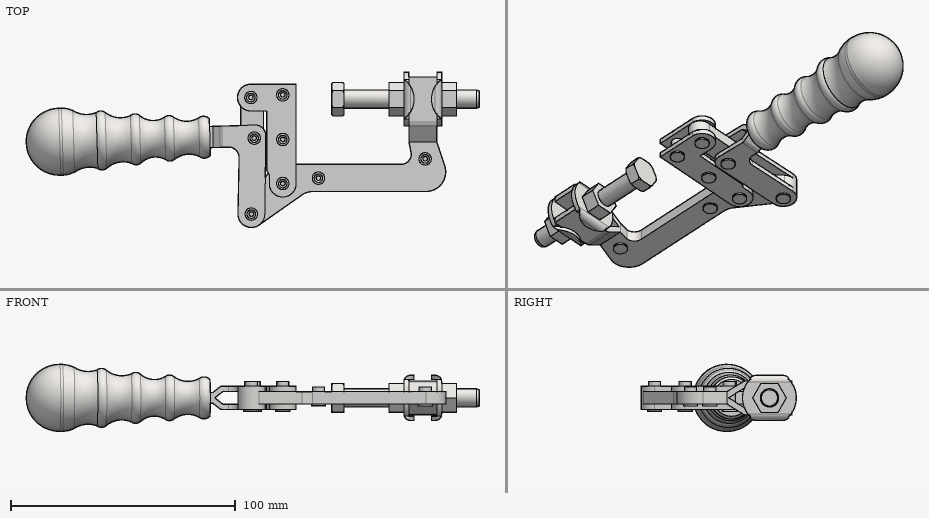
import cadquery as cq
import math


DIAGONAL = math.sin(math.pi / 4)

CORE_T = 5.5
SHEET_T = 2.5
CORE_Z = CORE_T / 2
STACK_Z = CORE_Z + SHEET_T
END_R = 6.0

ARM_PIVOT = (0.0, 0.0)
HANDLE_PIVOT = (1.3, 33.8)
LINK_PIVOT = (-0.2, 51.9)
PLATE_X = 14.0
PLATE_TOP_RIVET = (PLATE_X, 53.1)
PLATE_MID_RIVET = (PLATE_X, 33.2)
PLATE_LOW_RIVET = (PLATE_X, 13.6)
ARM_RIVET = (29.9, 16.0)
NECK_RIVET = (77.4, 24.6)

RIVET_R = 2.75
RIVET_HEAD_H = 2.1
RIVET_TAIL_R = 3.2
RIVET_TAIL_H = 0.8
CUP_TOP_R = 1.9
CUP_BOTTOM_R = 1.0
CUP_DEPTH = 1.2

BALL_R = 15.0
BALL_CENTER = (-85.3, 32.2)
GRIP_TILT = 1.8
GRIP_LENGTH = 66.9
GRIP_END_R = 8.2
BALL_BAND = 1.2
SHOULDER_ARC = ((3.8, 14.67), (6.2, 13.8))
GROOVES = [(12.4, 11.8), (27.3, 9.9), (42.1, 8.2), (56.9, 7.4)]
CRESTS = [(18.6, 13.2), (33.8, 11.4), (48.9, 10.2), (64.1, 9.4)]
CREST_HALF_W = 2.0
CREST_DROP = 0.7

UPRIGHT_X0 = 6.8
UPRIGHT_STEP_HIGH = 19.6
UPRIGHT_STEP_LOW = 17.4
INNER_LINK_X0 = -4.8
INNER_LINK_X1 = 5.5

TANG_W = 9.6
TANG_EMBED = 8.0
TANG_SPLIT_X = -16.2
TANG_BEND_RUN = 3.5
TANG_FILLET = 4.5
HANDLE_CORNER_R = 4.8
TANG_BEND_R = 1.8
LEG_TOP_X = 0.6

ARM_BOTTOM = 10.0
ARM_W = 12.2
ARM_TOP = ARM_BOTTOM + ARM_W
HEEL_ANGLE = 35.0
BACK_ANGLE = 49.5
HEEL_FILLET = 8.0
ELBOW_CENTER = (77.8, 18.8)
NECK_X0 = 70.1
NECK_X1 = 82.6
NECK_Y = 32.2
THROAT_R = 4.5
THROAT_X = 71.2

SPINDLE_Y = 51.18
HOLDER_TOP = 61.1
HOLDER_Z = 7.6
HOLDER_FLAT_Y = 40.0
HOLDER_BEND_R = 3.5
SPINDLE_R = 4.1
SPINDLE_END = 101.57
SPINDLE_CHAMFER = (1.4, 0.5)
HEX_AF = 13.0
HEX_AC = HEX_AF / math.cos(math.pi / 6)
HEAD_X = 35.8
HEAD_T = 5.5
HEAD_CHAMFER = 0.6
NUT_T = 6.6
WASHER_R = 12.0
WASHER_T = 2.2
WASHER_CORNER_Z = 10.1
LIP_REACH = 4.6
LIP_T = 2.0
LIP_BEND_R = 3.0


def disc(center, radius, z0, z1):
    return cq.Workplane("XY", origin=(center[0], center[1], z0)).circle(radius).extrude(z1 - z0)


def mirrored_pair(plate):
    return plate.union(plate.mirror("XY"))


def make_rivet(center, face_z):
    top = face_z + RIVET_HEAD_H
    body = disc(center, RIVET_R, -face_z, top)
    tail = disc(center, RIVET_TAIL_R, -face_z - RIVET_TAIL_H, -face_z)
    cup = (cq.Workplane("XY", origin=(center[0], center[1], top - CUP_DEPTH)).circle(CUP_BOTTOM_R)
           .workplane(offset=CUP_DEPTH).circle(CUP_TOP_R).loft(ruled=True))
    return body.union(tail).cut(cup)


def make_grip():
    profile = (cq.Workplane("XY").moveTo(-BALL_R, 0)
               .threePointArc((-BALL_R * DIAGONAL, BALL_R * DIAGONAL), (0, BALL_R))
               .lineTo(BALL_BAND, BALL_R)
               .threePointArc(*SHOULDER_ARC))
    for groove, (crest_x, crest_r) in zip(GROOVES, CRESTS):
        side_r = crest_r - CREST_DROP
        profile = profile.threePointArc(groove, (crest_x - CREST_HALF_W, side_r))
        is_last = crest_x == CRESTS[-1][0]
        crest_end = (GRIP_LENGTH, GRIP_END_R) if is_last else (crest_x + CREST_HALF_W, side_r)
        profile = profile.threePointArc((crest_x, crest_r), crest_end)
    grip = profile.lineTo(GRIP_LENGTH, 0).close().revolve(360, (0, 0, 0), (1, 0, 0))
    return grip.rotate((0, 0, 0), (0, 0, 1), GRIP_TILT).translate((*BALL_CENTER, 0))


def make_handle():
    slope = math.tan(math.radians(GRIP_TILT))
    tang_x = BALL_CENTER[0] + GRIP_LENGTH - TANG_EMBED

    def axis_y(x):
        return BALL_CENTER[1] + slope * (x - BALL_CENTER[0])

    px = LEG_TOP_X
    py = HANDLE_PIVOT[1]
    lean = math.atan2(px, py)
    side_x = END_R * math.cos(lean)
    side_y = END_R * math.sin(lean)
    leg_left_top = (px - side_x, axis_y(px - side_x) - TANG_W / 2)
    outer_corner = (px + side_x, py + END_R)
    plan = (cq.Workplane("XY", origin=(0, 0, -STACK_Z))
            .moveTo(-side_x, side_y)
            .threePointArc((-side_y, -side_x), (side_x, -side_y))
            .lineTo(*outer_corner)
            .lineTo(tang_x, axis_y(tang_x) + TANG_W / 2)
            .lineTo(tang_x, axis_y(tang_x) - TANG_W / 2)
            .lineTo(*leg_left_top)
            .close().extrude(2 * STACK_Z))
    plan = plan.edges(cq.selectors.NearestToPointSelector((*leg_left_top, 0))).fillet(TANG_FILLET)
    plan = plan.edges(cq.selectors.NearestToPointSelector((*outer_corner, 0))).fillet(HANDLE_CORNER_R)

    bend_shift = SHEET_T * math.tan(math.atan2(CORE_Z, TANG_BEND_RUN) / 2)
    x_far = px + 2 * END_R
    x_bend = TANG_SPLIT_X + TANG_BEND_RUN
    y_far = py + 2 * END_R
    sheet = (cq.Workplane("XZ", origin=(0, y_far, 0))
             .polyline([(tang_x, 0), (TANG_SPLIT_X, 0), (x_bend, CORE_Z), (x_far, CORE_Z),
                        (x_far, STACK_Z), (x_bend - bend_shift, STACK_Z),
                        (TANG_SPLIT_X - bend_shift, SHEET_T), (tang_x, SHEET_T)])
             .close().extrude(y_far + 2 * END_R))
    bend_point = (x_bend - bend_shift, 0, STACK_Z)
    sheet = sheet.edges("|Y").edges(cq.selectors.NearestToPointSelector(bend_point)).fillet(TANG_BEND_R)
    return plan.intersect(mirrored_pair(sheet))


def make_link_plates():
    pivot_x, pivot_y = LINK_PIVOT
    right = PLATE_X + END_R
    top = pivot_y + END_R
    foot_left = PLATE_X - END_R
    foot_y = PLATE_LOW_RIVET[1]
    plate = (cq.Workplane("XY", origin=(0, 0, CORE_Z))
             .moveTo(pivot_x, top).lineTo(right, top)
             .lineTo(right, foot_y)
             .threePointArc((PLATE_X, foot_y - END_R), (foot_left, foot_y))
             .lineTo(foot_left, UPRIGHT_STEP_LOW).lineTo(UPRIGHT_X0, UPRIGHT_STEP_HIGH)
             .lineTo(UPRIGHT_X0, pivot_y - END_R).lineTo(pivot_x, pivot_y - END_R)
             .threePointArc((pivot_x - END_R, pivot_y), (pivot_x, top))
             .close().extrude(SHEET_T))
    return mirrored_pair(plate)


def make_inner_link():
    left = INNER_LINK_X0
    right = INNER_LINK_X1
    middle = (left + right) / 2
    low = HANDLE_PIVOT[1]
    high = LINK_PIVOT[1]
    return (cq.Workplane("XY", origin=(0, 0, -CORE_Z))
            .moveTo(left, low)
            .threePointArc((middle, low - END_R), (right, low))
            .lineTo(right, high)
            .threePointArc((middle, high + END_R), (left, high))
            .close().extrude(CORE_T))


def make_arm():
    heel = math.radians(HEEL_ANGLE)
    back = math.radians(BACK_ANGLE)
    heel_start = (END_R * math.sin(heel), -END_R * math.cos(heel))
    heel_end = (heel_start[0] + (ARM_BOTTOM - heel_start[1]) / math.tan(heel), ARM_BOTTOM)
    back_start = (-END_R * math.sin(back), END_R * math.cos(back))
    back_end = (back_start[0] + (ARM_TOP - back_start[1]) / math.tan(back), ARM_TOP)
    end_mid_angle = (heel + back) / 2 + math.pi

    ex, ey = ELBOW_CENTER
    elbow_r = ey - ARM_BOTTOM
    reach = math.hypot(NECK_X1 - ex, NECK_Y - ey)
    elbow_end_angle = math.atan2(NECK_Y - ey, NECK_X1 - ex) - math.acos(elbow_r / reach)
    elbow_mid_angle = (elbow_end_angle - math.pi / 2) / 2

    def elbow_point(angle):
        return (ex + elbow_r * math.cos(angle), ey + elbow_r * math.sin(angle))

    throat_mid = THROAT_R * DIAGONAL
    throat_cx = THROAT_X - THROAT_R
    throat_cy = ARM_TOP + THROAT_R
    arm = (cq.Workplane("XY", origin=(0, 0, -CORE_Z))
           .moveTo(*heel_start).lineTo(*heel_end)
           .lineTo(ex, ARM_BOTTOM)
           .threePointArc(elbow_point(elbow_mid_angle), elbow_point(elbow_end_angle))
           .lineTo(NECK_X1, NECK_Y).lineTo(NECK_X0, NECK_Y)
           .lineTo(THROAT_X, throat_cy)
           .threePointArc((throat_cx + throat_mid, throat_cy - throat_mid), (throat_cx, ARM_TOP))
           .lineTo(*back_end).lineTo(*back_start)
           .threePointArc((END_R * math.cos(end_mid_angle), END_R * math.sin(end_mid_angle)), heel_start)
           .close().extrude(CORE_T))
    return arm.edges(cq.selectors.NearestToPointSelector((*heel_end, 0))).fillet(HEEL_FILLET)


def make_holder():
    slope = math.atan2(HOLDER_Z - CORE_Z, HOLDER_FLAT_Y - NECK_Y)
    bend_shift = CORE_Z * math.tan(slope / 2)
    sheet = (cq.Workplane("YZ", origin=(NECK_X0, 0, 0))
             .polyline([(NECK_Y, 0), (NECK_Y, CORE_Z), (HOLDER_FLAT_Y, HOLDER_Z), (HOLDER_TOP, HOLDER_Z),
                        (HOLDER_TOP, HOLDER_Z - CORE_Z), (HOLDER_FLAT_Y + bend_shift, HOLDER_Z - CORE_Z),
                        (NECK_Y + bend_shift, 0)])
             .close().extrude(NECK_X1 - NECK_X0))
    bend_point = (NECK_X0, HOLDER_FLAT_Y, HOLDER_Z)
    sheet = sheet.edges("|X").edges(cq.selectors.NearestToPointSelector(bend_point)).fillet(HOLDER_BEND_R)
    return mirrored_pair(sheet)


def hexagon(x, thickness):
    return cq.Workplane("YZ", origin=(x, SPINDLE_Y, 0)).polygon(6, HEX_AC).extrude(thickness)


def make_spindle():
    run, drop = SPINDLE_CHAMFER
    head_round = (cq.Workplane("YZ", origin=(HEAD_X, SPINDLE_Y, 0)).circle(HEX_AC / 2)
                  .extrude(HEAD_T).edges().chamfer(HEAD_CHAMFER))
    head = hexagon(HEAD_X, HEAD_T).intersect(head_round)
    shank = (cq.Workplane("XY").moveTo(HEAD_X, 0).lineTo(HEAD_X, SPINDLE_R)
             .lineTo(SPINDLE_END - run, SPINDLE_R).lineTo(SPINDLE_END, SPINDLE_R - drop)
             .lineTo(SPINDLE_END, 0).close()
             .revolve(360, (0, 0, 0), (1, 0, 0)).translate((0, SPINDLE_Y, 0)))
    nut_near = hexagon(NECK_X0 - WASHER_T - NUT_T, NUT_T)
    nut_far = hexagon(NECK_X1 + WASHER_T, NUT_T)
    return shank.union(head).union(nut_near).union(nut_far)


def make_washer():
    lip_start_z = WASHER_CORNER_Z - LIP_T
    chord = math.sqrt(WASHER_R ** 2 - lip_start_z ** 2)
    channel = (cq.Workplane("YZ").rect(2 * WASHER_R, 2 * WASHER_CORNER_Z).extrude(LIP_REACH)
               .edges("<X and |Y").fillet(LIP_BEND_R))
    hollow = (cq.Workplane("YZ", origin=(WASHER_T, 0, 0))
              .rect(2 * WASHER_R, 2 * lip_start_z).extrude(LIP_REACH)
              .edges("<X and |Y").fillet(LIP_BEND_R - LIP_T))
    face = cq.Workplane("YZ").circle(WASHER_R).extrude(WASHER_T)
    face = face.intersect(cq.Workplane("YZ").rect(2 * WASHER_R, 2 * lip_start_z).extrude(WASHER_T))
    lip = (cq.Workplane("XY", origin=(0, 0, lip_start_z)).moveTo(0, chord)
           .threePointArc((LIP_REACH, 0), (0, -chord)).close().extrude(LIP_T))
    return mirrored_pair(lip).union(face).intersect(channel.cut(hollow))


def make_washers():
    near = make_washer().translate((NECK_X0 - WASHER_T, SPINDLE_Y, 0))
    far = make_washer().mirror("YZ").translate((NECK_X1 + WASHER_T, SPINDLE_Y, 0))
    return near.union(far)


result = make_grip()
for component in (make_handle(), make_arm(), make_inner_link(), make_link_plates(),
                  make_holder(), make_washers(), make_spindle()):
    result = result.union(component)
for pivot in (ARM_PIVOT, HANDLE_PIVOT, LINK_PIVOT, PLATE_TOP_RIVET, PLATE_MID_RIVET, PLATE_LOW_RIVET):
    result = result.union(make_rivet(pivot, STACK_Z))
for pivot in (ARM_RIVET, NECK_RIVET):
    result = result.union(make_rivet(pivot, CORE_Z))